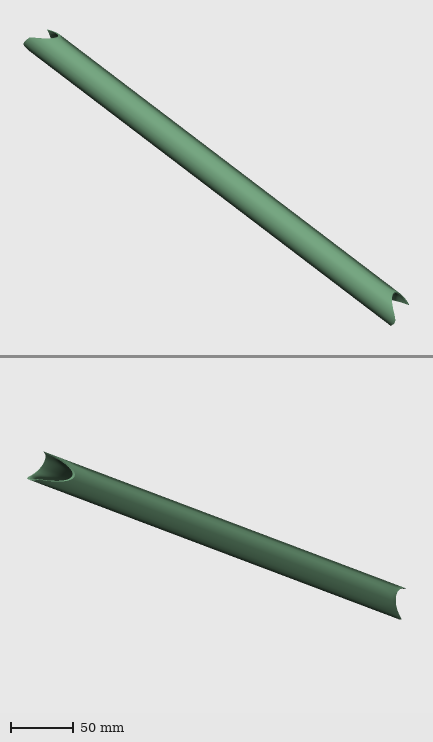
import cadquery as cq
import math

tube_radius = 12.7
wall = 1.0

middle = cq.Vector(0, 1.5, 2.7)
axis = cq.Vector(100, 26.3, -54.7).normalized()

saddle_radius = 13.5
level_reach = 205.5
level_cross_axis = cq.Vector(1, 0, 0)
level_shift = cq.Vector(0, 1.5, 0)
upright_reach = 196.5
upright_cross_axis = cq.Vector(0.07, 0, 1).normalized()
upper_reach = 199.5
upper_tilt = math.radians(30)
upper_cross_axis = cq.Vector(0, -math.sin(upper_tilt), math.cos(upper_tilt))

top_height = 95.5

overrun = 100.3
cross_tube_length = 534.8
cutter_size = 668.5


def rod(center, direction, length, radius):
    """Solid round bar centred on a point."""
    start = center - direction * (length / 2)
    return cq.Workplane(obj=cq.Solid.makeCylinder(radius, length, start, direction))


def end_cutter(reach, outward, cross_axis, shift=cq.Vector(0, 0, 0)):
    """Crossing bar plus everything beyond its axis."""
    facing = (outward - cross_axis * outward.dot(cross_axis)).normalized()
    center = middle + outward * reach + shift
    plane = cq.Plane(origin=center.toTuple(), normal=facing.toTuple())
    beyond = cq.Workplane(plane).rect(cutter_size, cutter_size).extrude(cutter_size)
    return beyond.union(rod(center, cross_axis, cross_tube_length, saddle_radius))


tube_length = 2 * (max(level_reach, upper_reach) + overrun)
tube = rod(middle, axis, tube_length, tube_radius)
tube = tube.cut(rod(middle, axis, tube_length, tube_radius - wall))

level_cutter = cq.Workplane("XY", origin=(0, 0, top_height))
level_cutter = level_cutter.rect(cutter_size, cutter_size).extrude(cutter_size)

result = tube.cut(end_cutter(level_reach, axis, level_cross_axis, level_shift))
result = result.cut(end_cutter(upright_reach, axis, upright_cross_axis))
result = result.cut(end_cutter(upper_reach, axis * -1, upper_cross_axis))
result = result.cut(level_cutter)